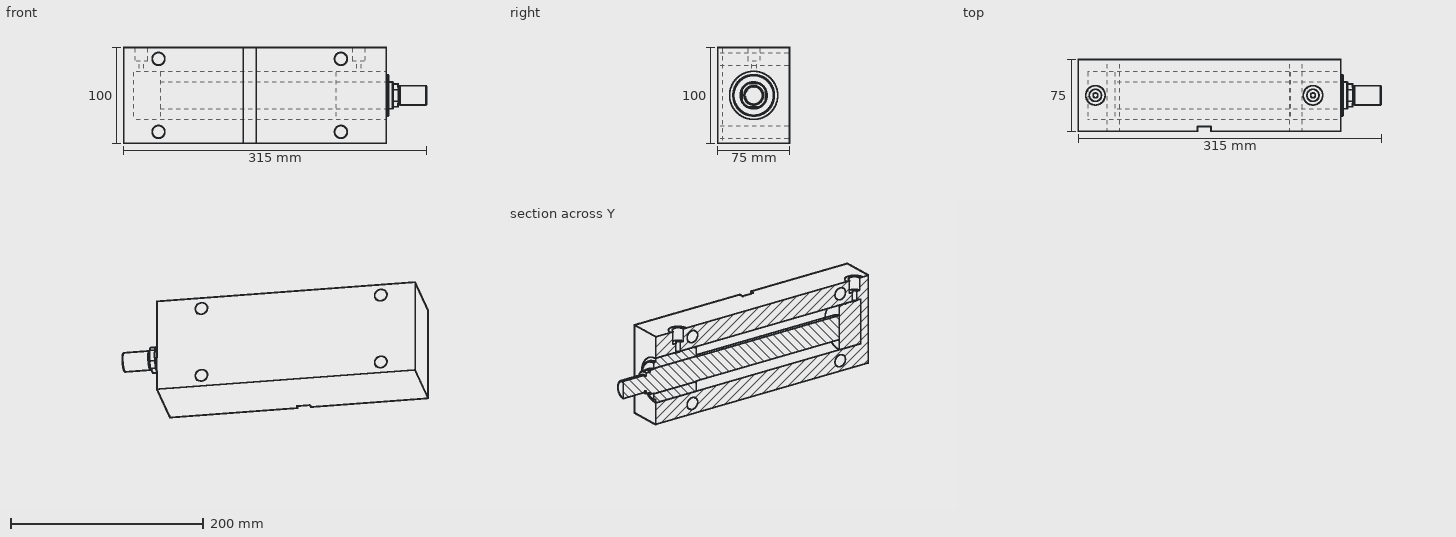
import cadquery as cq

TOTAL_LENGTH = 315.0
LENGTH = 273.0
DEPTH = 75.0
HEIGHT = 100.0
AXIS_Y = DEPTH / 2
AXIS_Z = HEIGHT / 2

SLOT_START = 124.0
SLOT_WIDTH = 14.0
SLOT_DEPTH = 5.0

MOUNT_DIAMETER = 13.0
MOUNT_XS = (36.2, 226.0)
MOUNT_SPACING_Z = 76.0

PORT_XS = (18.0, 244.0)
PORT_SPOTFACE_DIAMETER = 20.2
PORT_SPOTFACE_DEPTH = 0.1
PORT_DIAMETER = 12.5
PORT_DEPTH = 14.2
FEED_DIAMETER = 5.0

BORE_DIAMETER = 50.0
BORE_START = 10.0

GLAND_START = 220.5
FLANGE_DIAMETER = 43.0
FLANGE_END = 275.5
FLANGE_CHAMFER = 1.0

PISTON_END = 37.8

ROD_DIAMETER = 28.0
ROD_CHAMFER = 0.5
ROD_SHOULDER = 280.0
FLATS_DIAMETER = ROD_DIAMETER - 2 * ROD_CHAMFER
FLATS_WIDTH = 24.0
FLATS_END = 285.5
NECK_DIAMETER = 17.0
NECK_END = 286.5
THREAD_DIAMETER = 20.2
THREAD_CHAMFER = 1.0


def axial_cylinder(start, end, diameter):
    plane = cq.Workplane("YZ", origin=(start, AXIS_Y, AXIS_Z))
    return plane.circle(diameter / 2).extrude(end - start)


def vertical_hole(x, top, depth, diameter):
    return cq.Workplane("XY", origin=(x, AXIS_Y, top - depth)).circle(diameter / 2).extrude(depth)


def make_housing():
    housing = cq.Workplane("XY").box(LENGTH, DEPTH, HEIGHT, centered=False)

    slot = cq.Workplane("XY").box(SLOT_WIDTH, SLOT_DEPTH, HEIGHT, centered=False)
    housing = housing.cut(slot.translate((SLOT_START, 0, 0)))

    for x in MOUNT_XS:
        for side in (-1, 1):
            z = AXIS_Z + side * MOUNT_SPACING_Z / 2
            hole = cq.Workplane("XZ", origin=(x, 0, z)).circle(MOUNT_DIAMETER / 2).extrude(-DEPTH)
            housing = housing.cut(hole)

    for x in PORT_XS:
        housing = housing.cut(vertical_hole(x, HEIGHT, PORT_SPOTFACE_DEPTH, PORT_SPOTFACE_DIAMETER))
        housing = housing.cut(vertical_hole(x, HEIGHT, PORT_DEPTH, PORT_DIAMETER))
        housing = housing.cut(vertical_hole(x, HEIGHT, HEIGHT - AXIS_Z, FEED_DIAMETER))

    return housing.cut(axial_cylinder(BORE_START, LENGTH, BORE_DIAMETER))


def make_gland():
    gland = axial_cylinder(GLAND_START, LENGTH, BORE_DIAMETER)
    flange = axial_cylinder(LENGTH, FLANGE_END, FLANGE_DIAMETER).faces(">X").chamfer(FLANGE_CHAMFER)
    return gland.union(flange).cut(axial_cylinder(GLAND_START, FLANGE_END, ROD_DIAMETER))


def make_piston():
    return axial_cylinder(BORE_START, PISTON_END, BORE_DIAMETER)


def make_rod():
    rod = axial_cylinder(PISTON_END, ROD_SHOULDER, ROD_DIAMETER).faces(">X").chamfer(ROD_CHAMFER)
    flats = cq.Workplane("YZ", origin=(ROD_SHOULDER, AXIS_Y, AXIS_Z)).rect(FLATS_WIDTH, FLATS_WIDTH)
    flats = flats.extrude(FLATS_END - ROD_SHOULDER)
    rod = rod.union(flats.intersect(axial_cylinder(ROD_SHOULDER, FLATS_END, FLATS_DIAMETER)))
    rod = rod.union(axial_cylinder(FLATS_END, NECK_END, NECK_DIAMETER))
    thread = axial_cylinder(NECK_END, TOTAL_LENGTH, THREAD_DIAMETER)
    thread = thread.faces("<X or >X").chamfer(THREAD_CHAMFER)
    return rod.union(thread)


housing = make_housing()
gland = make_gland()
piston = make_piston()
rod = make_rod()
result = cq.Compound.makeCompound([housing.val(), gland.val(), piston.val(), rod.val()])